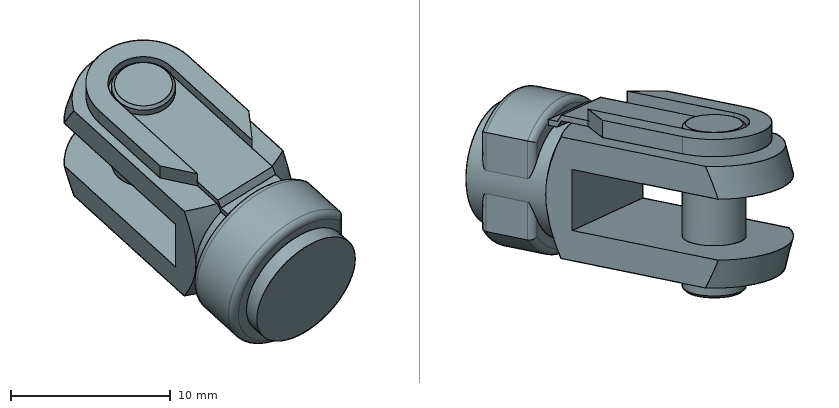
import cadquery as cq


body_width = 8.0
half_width = body_width / 2
slot_height = 4.0
slot_end_x = 8.01
body_end_x = 16.0
neck_start_x = 10.0
shoulder_start_x = 8.87
shoulder_corner_radius = half_width * 2 ** 0.5
tip_inner_radius = 4.97
tip_outer_radius = 4.47

collar_start_x = 11.0
collar_length = 4.0
collar_radius = 5.1
collar_flat_y = 3.92
collar_fillet = 0.45

pin_diameter = 4.0
pin_bottom_z = -5.5
pin_top_z = 5.4
pin_chamfer = 0.19

clip_top_z = 5.5
clip_bottom_z = 4.36
clip_radius = 3.6
clip_taper_x = 6.0
tongue_width = 4.43
tongue_thickness = 0.38
tongue_drop = 0.46
bend_start_x = 10.0
bend_end_x = 10.32
tongue_overlap = 0.2


def make_fork():
    """Square fork with a conical rounded tip and a conical shoulder behind the slot."""
    block = cq.Workplane("XY").box(
        tip_inner_radius + neck_start_x, body_width, body_width
    ).translate(((neck_start_x - tip_inner_radius) / 2, 0, 0))

    shoulder_envelope = (
        cq.Workplane("XY")
        .moveTo(-tip_inner_radius, 0)
        .lineTo(-tip_inner_radius, shoulder_corner_radius)
        .lineTo(shoulder_start_x, shoulder_corner_radius)
        .lineTo(neck_start_x, half_width)
        .lineTo(neck_start_x, 0)
        .close()
        .revolve(360, (0, 0, 0), (1, 0, 0))
    )

    slot_half = slot_height / 2
    tip_envelope = (
        cq.Workplane("XZ")
        .moveTo(0, -half_width)
        .lineTo(tip_outer_radius, -half_width)
        .lineTo(tip_inner_radius, -slot_half)
        .lineTo(tip_inner_radius, slot_half)
        .lineTo(tip_outer_radius, half_width)
        .lineTo(0, half_width)
        .close()
        .revolve(360, (0, 0, 0), (0, 1, 0))
    )
    rear_envelope = cq.Workplane("XY").box(
        neck_start_x, body_width, body_width, centered=(False, True, True)
    )
    slot = cq.Workplane("XY").box(
        tip_inner_radius + slot_end_x, body_width, slot_height
    ).translate(((slot_end_x - tip_inner_radius) / 2, 0, 0))
    return block.intersect(shoulder_envelope).intersect(tip_envelope.union(rear_envelope)).cut(slot)


def make_neck():
    """Round neck that runs through the collar to the rear end."""
    return (
        cq.Workplane("YZ", origin=(neck_start_x, 0, 0))
        .circle(half_width)
        .extrude(body_end_x - neck_start_x)
    )


def make_collar():
    """Round collar with a flat on its +Y side and rounded end edges."""
    collar = cq.Workplane("YZ", origin=(collar_start_x, 0, 0)).circle(collar_radius).extrude(collar_length)
    kept_side = cq.Workplane("XY").box(
        collar_length, 2 * collar_radius, 2 * collar_radius, centered=(False, False, True)
    ).translate((collar_start_x, collar_flat_y - 2 * collar_radius, 0))
    return collar.intersect(kept_side).faces("<X or >X").edges().fillet(collar_fillet)


def make_pin():
    """Clevis pin, chamfered at both ends."""
    return (
        cq.Workplane("XY", origin=(0, 0, pin_bottom_z))
        .circle(pin_diameter / 2)
        .extrude(pin_top_z - pin_bottom_z)
        .faces("<Z or >Z")
        .chamfer(pin_chamfer)
    )


def make_clip():
    """U-shaped clip plate with a thin tongue that steps down onto the neck."""
    tongue_half = tongue_width / 2
    plate = (
        cq.Workplane("XY", origin=(0, 0, clip_bottom_z))
        .moveTo(0, clip_radius)
        .threePointArc((-clip_radius, 0), (0, -clip_radius))
        .lineTo(clip_taper_x, -clip_radius)
        .lineTo(slot_end_x, -tongue_half)
        .lineTo(slot_end_x, tongue_half)
        .lineTo(clip_taper_x, clip_radius)
        .close()
        .extrude(clip_top_z - clip_bottom_z)
    )
    tongue_top_z = clip_bottom_z + tongue_thickness
    recess = (
        cq.Workplane("XY", origin=(0, 0, tongue_top_z))
        .moveTo(0, tongue_half)
        .threePointArc((-tongue_half, 0), (0, -tongue_half))
        .lineTo(slot_end_x, -tongue_half)
        .lineTo(slot_end_x, tongue_half)
        .close()
        .extrude(clip_top_z - tongue_top_z)
    )
    tongue_end_x = collar_start_x + tongue_overlap
    tongue = (
        cq.Workplane("XZ")
        .moveTo(0, clip_bottom_z)
        .lineTo(bend_start_x, clip_bottom_z)
        .lineTo(bend_end_x, clip_bottom_z - tongue_drop)
        .lineTo(tongue_end_x, clip_bottom_z - tongue_drop)
        .lineTo(tongue_end_x, tongue_top_z - tongue_drop)
        .lineTo(bend_end_x, tongue_top_z - tongue_drop)
        .lineTo(bend_start_x, tongue_top_z)
        .lineTo(0, tongue_top_z)
        .close()
        .extrude(tongue_half, both=True)
    )
    return plate.cut(recess).union(tongue)


result = make_fork().union(make_neck()).union(make_collar()).union(make_pin()).union(make_clip())